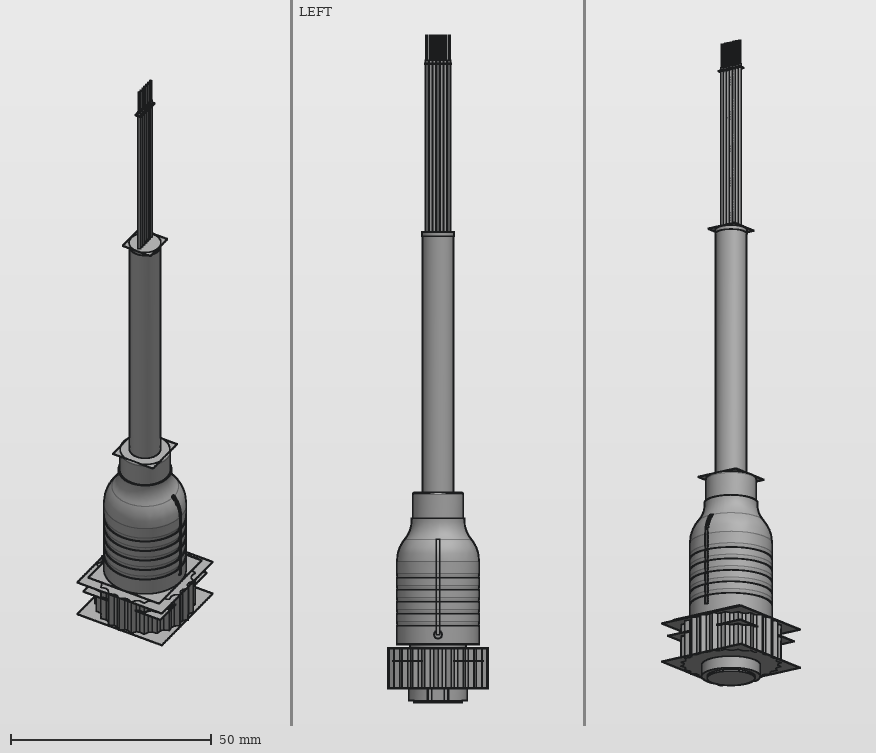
import cadquery as cq
import math

total_height = 166.1
plug_shoulder_z = 0.5
nut_bottom_z = 3.5
nut_ledge_z = 10.3
nut_top_z = 13.6
boot_bottom_z = 14.5
shoulder_start_z = 35.2
shoulder_middle_z = 40.7
collar_bottom_z = 45.9
collar_top_z = 52.3
cap_bottom_z = 116.1
cable_top_z = 117.3
wire_plate_z = 159.0
insulation_top_z = 160.0

plug_radius = 7.3
plug_tip_radius = 6.0
plug_flat_x = -6.8
plug_groove_offset = 2.0
plug_groove_width = 0.8
plug_groove_depth = 0.3
neck_radius = 7.0
nut_diameter = 25.1
tooth_count = 24
tooth_depth = 0.8
valley_share = 0.3

boot_radius = 10.3
shoulder_middle_radius = 8.3
shoulder_top_radius = 6.6
collar_radius = 6.3
collar_fillet = 0.5
groove_count = 5
first_groove_z = 19.1
groove_pitch = 3.0
groove_length = 1.2
groove_depth = 0.2
seam_width = 0.8
seam_depth = 0.3
seam_bottom_z = 17.0
dimple_diameter = 2.0

cap_radius = 4.0
cap_step = 0.08
cable_radius = cap_radius - cap_step
wire_count = 7
wire_pitch = 0.91
insulation_diameter = 0.8
core_diameter = 0.5

plate_thickness = 0.2
nut_plate_side = 24.6
ledge_plate_side = 22.5
boot_plate_side = 20.6
collar_plate_side = 11.6
cable_plate_side = 8.1
wire_plate_size = (1.7, 6.6)


def cylinder(radius, bottom_z, top_z):
    return cq.Workplane("XY").workplane(offset=bottom_z).circle(radius).extrude(top_z - bottom_z)


def plate(size_x, size_y, bottom_z):
    return cq.Workplane("XY").workplane(offset=bottom_z).rect(size_x, size_y).extrude(plate_thickness)


def make_plug():
    body = cylinder(plug_radius, plug_shoulder_z, nut_bottom_z)
    flat_tool_size = 2 * plug_radius
    body = body.cut(
        cq.Workplane("XY").box(flat_tool_size, flat_tool_size, flat_tool_size)
        .translate((plug_flat_x - flat_tool_size / 2, 0, 0))
    )
    for side in (-1, 1):
        groove = cq.Workplane("XY").box(2 * plug_groove_depth, plug_groove_width, 2 * nut_bottom_z)
        body = body.cut(groove.translate((plug_flat_x, side * plug_groove_offset, 0)))
    return body.union(cylinder(plug_tip_radius, 0, plug_shoulder_z))


def nut_point(radius, pitch_position):
    angle = 2 * math.pi * pitch_position / tooth_count
    return (radius * math.cos(angle), radius * math.sin(angle))


def make_nut():
    tip_radius = nut_diameter / 2
    valley_radius = tip_radius - tooth_depth
    outline = []
    for tooth in range(tooth_count):
        outline += [
            nut_point(tip_radius, tooth),
            nut_point(valley_radius, tooth + (1 - valley_share) / 2),
            nut_point(valley_radius, tooth + (1 + valley_share) / 2),
        ]
    return (
        cq.Workplane("XY").workplane(offset=nut_bottom_z)
        .polyline(outline).close()
        .extrude(nut_top_z - nut_bottom_z)
    )


def make_boot():
    rise = shoulder_middle_z - shoulder_start_z
    inset = boot_radius - shoulder_middle_radius
    arc_radius = (rise ** 2 + inset ** 2) / (2 * inset)
    half_angle = math.asin(rise / arc_radius) / 2
    arc_middle = (
        boot_radius - arc_radius * (1 - math.cos(half_angle)),
        shoulder_start_z + arc_radius * math.sin(half_angle),
    )
    profile = cq.Workplane("XZ").moveTo(0, boot_bottom_z).lineTo(boot_radius, boot_bottom_z)
    for index in range(groove_count):
        ledge_z = first_groove_z + index * groove_pitch
        profile = (
            profile.lineTo(boot_radius, ledge_z)
            .lineTo(boot_radius - groove_depth, ledge_z)
            .threePointArc(
                (boot_radius - groove_depth / 4, ledge_z + groove_length / 2),
                (boot_radius, ledge_z + groove_length),
            )
        )
    boot = (
        profile.lineTo(boot_radius, shoulder_start_z)
        .threePointArc(arc_middle, (shoulder_middle_radius, shoulder_middle_z))
        .tangentArcPoint((shoulder_top_radius, collar_bottom_z), relative=False)
        .lineTo(0, collar_bottom_z)
        .close()
        .revolve(360, (0, 0, 0), (0, 1, 0))
    )
    collar = cylinder(collar_radius, collar_bottom_z, collar_top_z)
    collar = collar.faces(">Z").edges().fillet(collar_fillet)
    return boot.union(collar)


def cut_boot_seams(boot):
    seam_height = shoulder_middle_z - seam_bottom_z
    grooved_boot = boot
    for side in (-1, 1):
        slab = (
            cq.Workplane("XY").box(2 * boot_radius, seam_width, seam_height)
            .translate((side * boot_radius, 0, seam_bottom_z + seam_height / 2))
        )
        strip = slab.cut(boot.translate((-side * seam_depth, 0, 0)))
        grooved_boot = grooved_boot.cut(strip)
    dimple = (
        cq.Workplane("YZ").workplane(offset=-boot_radius - seam_depth)
        .center(0, seam_bottom_z)
        .circle(dimple_diameter / 2)
        .extrude(2 * seam_depth)
    )
    return grooved_boot.cut(dimple)


def make_cable():
    return cylinder(cable_radius, collar_top_z, cap_bottom_z).union(
        cylinder(cap_radius, cap_bottom_z, cable_top_z)
    )


def make_wires():
    row = [(0, (index - (wire_count - 1) / 2) * wire_pitch) for index in range(wire_count)]
    insulation = (
        cq.Workplane("XY").workplane(offset=cable_top_z)
        .pushPoints(row).circle(insulation_diameter / 2)
        .extrude(insulation_top_z - cable_top_z)
    )
    cores = (
        cq.Workplane("XY").workplane(offset=cable_top_z)
        .pushPoints(row).circle(core_diameter / 2)
        .extrude(total_height - cable_top_z)
    )
    return insulation.union(cores)


def make_plates():
    square_plates = [
        (nut_plate_side, nut_bottom_z),
        (ledge_plate_side, nut_ledge_z),
        (nut_plate_side, nut_top_z - plate_thickness),
        (boot_plate_side, boot_bottom_z),
        (collar_plate_side, collar_top_z - plate_thickness),
        (cable_plate_side, cable_top_z - plate_thickness),
    ]
    plates = plate(*wire_plate_size, wire_plate_z)
    for side, bottom_z in square_plates:
        plates = plates.union(plate(side, side, bottom_z))
    return plates


result = (
    make_plug()
    .union(make_nut())
    .union(cylinder(neck_radius, nut_top_z, boot_bottom_z))
    .union(cut_boot_seams(make_boot()))
    .union(make_cable())
    .union(make_wires())
    .union(make_plates())
)